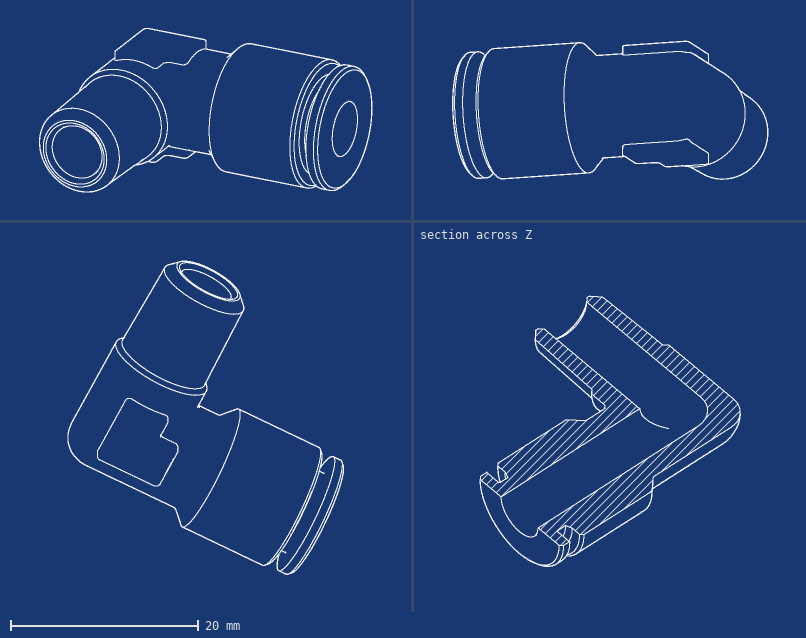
import cadquery as cq

elbow_radius = 5.5
outer_corner_fillet = 3.0
inner_corner_fillet = 0.5

socket_radius = 7.0
cone_end_x = 9.98
cone_start_x = cone_end_x - (socket_radius - elbow_radius)
cone_root_fillet = 0.5
socket_end_x = 20.0
socket_edge_chamfer = 0.35
collar_radius = 4.7
lip_base_radius = 5.47
lip_end_x = 20.28
collar_flange_fillet = 0.17
flange_start_x = 21.45
flange_radius = 6.77
flange_chamfer = 0.35
end_x = 28.2 - elbow_radius

shoulder_start = 7.98
shoulder_end = 8.5
stem_root_radius = 5.02
stem_tip_radius = 4.8
stem_chamfer_start = 17.95
stem_end = 19.0
stem_end_radius = 3.8

bore_radius = 3.0
mouth_radius = 3.5
mouth_depth = mouth_radius - bore_radius

pad_near = 2.5
pad_far = 5.0
pad_height = 5.98
pad_corner_radius = 0.5
pad_edge_fillet = 0.08

corner_height = 5.35


def x_cylinder(radius, start, end):
    return cq.Workplane("YZ", origin=(start, 0, 0)).circle(radius).extrude(end - start)


def y_cylinder(radius, start, end):
    """Cylinder reaching from `start` to `end`, both measured toward -Y."""
    return cq.Workplane("XZ", origin=(0, -start, 0)).circle(radius).extrude(end - start)


def make_elbow():
    """Two equal cylinders meeting in a miter whose outer and inner edges are rounded.

    The miter edge fades out at the top and bottom of the cylinders, so the corner is rounded
    with those crests cut flat. The arms and pads restore the crests.
    """
    reach = 2 * elbow_radius
    upper_right = (
        cq.Workplane("XY").polyline([(-reach, reach), (reach, reach), (reach, -reach)]).close()
        .extrude(corner_height, both=True)
    )
    lower_left = (
        cq.Workplane("XY").polyline([(-reach, reach), (-reach, -reach), (reach, -reach)]).close()
        .extrude(corner_height, both=True)
    )
    x_half = x_cylinder(elbow_radius, -reach, cone_start_x).intersect(upper_right)
    y_half = y_cylinder(elbow_radius, -reach, shoulder_start).intersect(lower_left)
    corner = x_half.union(y_half)
    half_radius = elbow_radius / 2
    outer_miter = cq.selectors.NearestToPointSelector((-half_radius, half_radius, 0))
    inner_miter = cq.selectors.NearestToPointSelector((half_radius, -half_radius, 0))
    corner = corner.edges(outer_miter).fillet(outer_corner_fillet)
    corner = corner.edges(inner_miter).fillet(inner_corner_fillet)
    x_arm = x_cylinder(elbow_radius, 0, cone_start_x)
    y_arm = y_cylinder(elbow_radius, 0, shoulder_start)
    return corner.union(x_arm).union(y_arm)


def make_socket():
    """Revolved socket body, conical lip, collar and release flange."""
    neck_x = cone_start_x - cone_root_fillet
    edge_margin = 0.03
    profile = (
        cq.Workplane("XY").moveTo(neck_x, 0)
        .lineTo(neck_x, elbow_radius)
        .lineTo(cone_start_x, elbow_radius)
        .lineTo(cone_end_x, socket_radius)
        .lineTo(socket_end_x - socket_edge_chamfer, socket_radius)
        .lineTo(socket_end_x, socket_radius - socket_edge_chamfer)
        .lineTo(socket_end_x, lip_base_radius)
        .lineTo(lip_end_x, collar_radius)
        .lineTo(flange_start_x - collar_flange_fillet, collar_radius)
        .tangentArcPoint((collar_flange_fillet, collar_flange_fillet))
        .lineTo(flange_start_x, flange_radius)
        .lineTo(end_x - flange_chamfer, flange_radius)
        .lineTo(end_x, flange_radius - flange_chamfer)
        .lineTo(end_x, 0)
        .close()
    )
    socket = profile.revolve(360, (0, 0, 0), (1, 0, 0))
    root_edge = cq.selectors.BoxSelector(
        (cone_start_x - edge_margin, -socket_radius, -socket_radius),
        (cone_start_x + edge_margin, socket_radius, socket_radius),
        boundingbox=True,
    )
    return socket.edges(root_edge).fillet(cone_root_fillet)


def make_stem():
    """Revolved shoulder, tapered stem and end chamfer."""
    return (
        cq.Workplane("XY")
        .polyline([
            (0, -shoulder_start),
            (elbow_radius, -shoulder_start),
            (stem_root_radius, -shoulder_end),
            (stem_tip_radius, -stem_chamfer_start),
            (stem_end_radius, -stem_end),
            (0, -stem_end),
        ])
        .close()
        .revolve(360, (0, 0, 0), (0, 1, 0))
    )


def make_pads():
    """One L-shaped block through the elbow that forms both pads."""
    return (
        cq.Workplane("XY")
        .polyline([
            (-pad_near, pad_near),
            (pad_far, pad_near),
            (pad_far, -pad_near),
            (pad_near, -pad_near),
            (pad_near, -pad_far),
            (-pad_near, -pad_far),
        ])
        .close()
        .extrude(pad_height, both=True)
        .edges("|Z").fillet(pad_corner_radius)
        .faces("|Z").edges().fillet(pad_edge_fillet)
    )


def make_passage():
    """Elbow bore through both ends, with a spherical corner and a chamfered stem mouth."""
    mouth = (
        cq.Workplane("XZ", origin=(0, -stem_end, 0)).circle(mouth_radius)
        .workplane(offset=-mouth_depth).circle(bore_radius).loft()
    )
    return (
        cq.Workplane("XY").sphere(bore_radius)
        .union(x_cylinder(bore_radius, 0, end_x))
        .union(y_cylinder(bore_radius, 0, stem_end))
        .union(mouth)
    )


result = make_elbow().union(make_socket()).union(make_stem()).union(make_pads()).cut(make_passage())